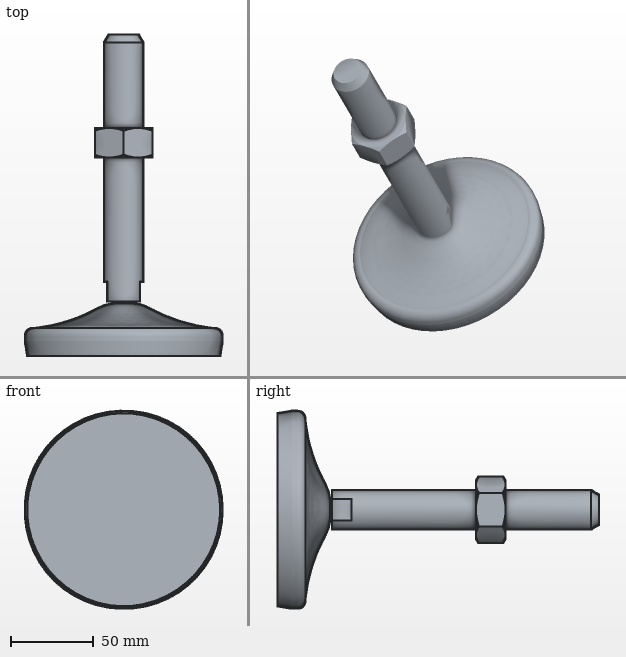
import cadquery as cq
import math


total_length = 195.0

foot_radius = 60.0
foot_base_radius = 58.5
taper_height = 9.0
rim_band_height = 12.0
rim_top_radius = 54.0
rim_top_height = 17.0
crown_height = 32.0
crown_arc_radius = 20.0
crown_arc_angle = math.radians(29.0)

neck_radius = 5.0

stud_radius = 12.0
stud_start = 33.0
tip_chamfer_length = 5.0
tip_radius = 9.0
flat_width = 20.0
flat_length = 12.0

nut_sides = 6
nut_across_flats = 35.0
nut_start = 120.3
nut_height = 18.0
nut_chamfer_angle = math.radians(30.0)


def crown_arc_point(angle):
    """Point (radius, height) on the crown rounding, measured from its start at the neck."""
    radius = neck_radius + crown_arc_radius * math.sin(angle)
    height = crown_height - crown_arc_radius * (1 - math.cos(angle))
    return (radius, height)


def cone_mid_point():
    """Middle of the concave arc that continues the crown rounding down to the rim."""
    top_radius, top_height = crown_arc_point(crown_arc_angle)
    run = rim_top_radius - top_radius
    drop = top_height - rim_top_height
    half_sweep = crown_arc_angle - math.atan2(drop, run)
    chord = math.hypot(run, drop)
    sag = chord / 2 * math.tan(half_sweep / 2)
    mid_radius = (top_radius + rim_top_radius) / 2 - sag * drop / chord
    mid_height = (top_height + rim_top_height) / 2 - sag * run / chord
    return (mid_radius, mid_height)


def revolve_about_axis(profile):
    """Turn a closed (radius, y) profile about the Y axis."""
    return profile.close().revolve(360, (0, 0, 0), (0, 1, 0))


def make_foot():
    profile = (
        cq.Workplane("XY")
        .lineTo(foot_base_radius, 0)
        .lineTo(foot_radius, taper_height)
        .lineTo(foot_radius, rim_band_height)
        .tangentArcPoint((rim_top_radius, rim_top_height), relative=False)
        .threePointArc(cone_mid_point(), crown_arc_point(crown_arc_angle))
        .threePointArc(crown_arc_point(crown_arc_angle / 2), (neck_radius, crown_height))
        .lineTo(0, crown_height)
    )
    return revolve_about_axis(profile)


def make_stud():
    """Neck and stud in one turned piece, with two wrench flats facing +X and -X."""
    profile = (
        cq.Workplane("XY")
        .moveTo(0, crown_height)
        .lineTo(neck_radius, crown_height)
        .lineTo(neck_radius, stud_start)
        .lineTo(stud_radius, stud_start)
        .lineTo(stud_radius, total_length - tip_chamfer_length)
        .lineTo(tip_radius, total_length)
        .lineTo(0, total_length)
    )
    stud = revolve_about_axis(profile)
    cut_depth = stud_radius - flat_width / 2
    for side in (-1, 1):
        flat_cut = cq.Workplane("XY").box(cut_depth, flat_length, 2 * stud_radius)
        offset = side * (flat_width + cut_depth) / 2
        stud = stud.cut(flat_cut.translate((offset, stud_start + flat_length / 2, 0)))
    return stud


def make_nut():
    """Hexagon with corners on Z, both ends chamfered by a cone."""
    corner_radius = nut_across_flats / 2 / math.cos(math.pi / nut_sides)
    chamfer_radius = nut_across_flats / 2
    chamfer_height = (corner_radius - chamfer_radius) * math.tan(nut_chamfer_angle)
    nut_end = nut_start + nut_height
    corner_step = 2 * math.pi / nut_sides
    corners = [
        (corner_radius * math.sin(i * corner_step), corner_radius * math.cos(i * corner_step))
        for i in range(nut_sides)
    ]
    hexagon = (
        cq.Workplane("XZ", origin=(0, nut_start, 0))
        .polyline(corners)
        .close()
        .extrude(-nut_height)
    )
    envelope = revolve_about_axis(
        cq.Workplane("XY")
        .moveTo(0, nut_start)
        .lineTo(chamfer_radius, nut_start)
        .lineTo(corner_radius, nut_start + chamfer_height)
        .lineTo(corner_radius, nut_end - chamfer_height)
        .lineTo(chamfer_radius, nut_end)
        .lineTo(0, nut_end)
    )
    return hexagon.intersect(envelope)


result = make_foot().union(make_stud()).union(make_nut())